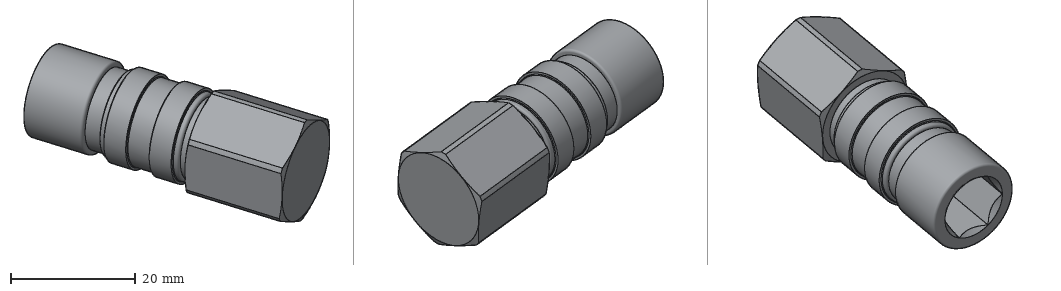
import cadquery as cq
import math

length = 47.0

half_hex_angle = 30.0

nose_diameter = 15.8
nose_end = 10.75
nose_rounding = 0.4
neck_diameter = 14.0
sleeve_diameter = 15.1
sleeve_center = 20.75
sleeve_width = 14.4
sleeve_rounding = 0.4
collar_diameter = 16.15
collar_width = 3.95
collar_spacing = 8.2
collar_foot = 0.15

hex_start = 29.45
hex_across_flats = 17.0
hex_corner_diameter = 19.15
hex_turn = 4.3
hex_face_diameter = 16.9
hex_chamfer_length = 0.38

socket_diameter = 11.45
socket_depth = 10.35
lead_in_angle = 40.0


def revolve_about_x(outline):
    return outline.close().revolve(360, (0, 0, 0), (1, 0, 0))


def cylinder(diameter, start, end):
    return cq.Workplane("YZ").workplane(offset=start).circle(diameter / 2).extrude(end - start)


def hexagon(across_corners, start, end):
    """Hexagonal prism along X with two corners on the Y axis."""
    return cq.Workplane("YZ").workplane(offset=start).polygon(6, across_corners).extrude(end - start)


def collar(center):
    """Raised band whose two feet widen where they meet the sleeve."""
    half_width = collar_width / 2
    radius = collar_diameter / 2
    foot_radius = sleeve_diameter / 2
    outline = [
        (center - half_width, 0),
        (center - half_width - collar_foot, 0),
        (center - half_width - collar_foot, foot_radius),
        (center - half_width, foot_radius + collar_foot),
        (center - half_width, radius),
        (center + half_width, radius),
        (center + half_width, foot_radius + collar_foot),
        (center + half_width + collar_foot, foot_radius),
        (center + half_width + collar_foot, 0),
    ]
    return revolve_about_x(cq.Workplane("XY").polyline(outline))


def sleeve():
    start = sleeve_center - sleeve_width / 2
    body = cylinder(sleeve_diameter, start, start + sleeve_width).edges().fillet(sleeve_rounding)
    for side in (-1, 1):
        body = body.union(collar(sleeve_center + side * collar_spacing / 2))
    return body


def wrench_end():
    """Hexagonal prism with corners trimmed by a cylinder chamfered at both ends."""
    face_radius = hex_face_diameter / 2
    corner_radius = hex_corner_diameter / 2
    blank_outline = (
        cq.Workplane("XY")
        .moveTo(hex_start, 0)
        .lineTo(hex_start, face_radius)
        .lineTo(hex_start + hex_chamfer_length, corner_radius)
        .lineTo(length - hex_chamfer_length, corner_radius)
        .lineTo(length, face_radius)
        .lineTo(length, 0)
    )
    across_corners = hex_across_flats / math.cos(math.radians(half_hex_angle))
    prism = hexagon(across_corners, hex_start, length)
    prism = prism.rotate((0, 0, 0), (1, 0, 0), half_hex_angle - hex_turn)
    return prism.intersect(revolve_about_x(blank_outline))


def socket():
    """Hexagonal recess whose mouth is opened out to a circle by a cone."""
    radius = socket_diameter / 2
    lead_in_depth = radius / math.tan(math.radians(lead_in_angle))
    lead_in_outline = [(0, 0), (0, radius), (lead_in_depth, 0)]
    lead_in = revolve_about_x(cq.Workplane("XY").polyline(lead_in_outline))
    return hexagon(socket_diameter, 0, socket_depth).union(lead_in)


nose = cylinder(nose_diameter, 0, nose_end).edges().fillet(nose_rounding)
neck = cylinder(neck_diameter, nose_end, hex_start)
result = nose.union(neck).union(sleeve()).union(wrench_end()).cut(socket())